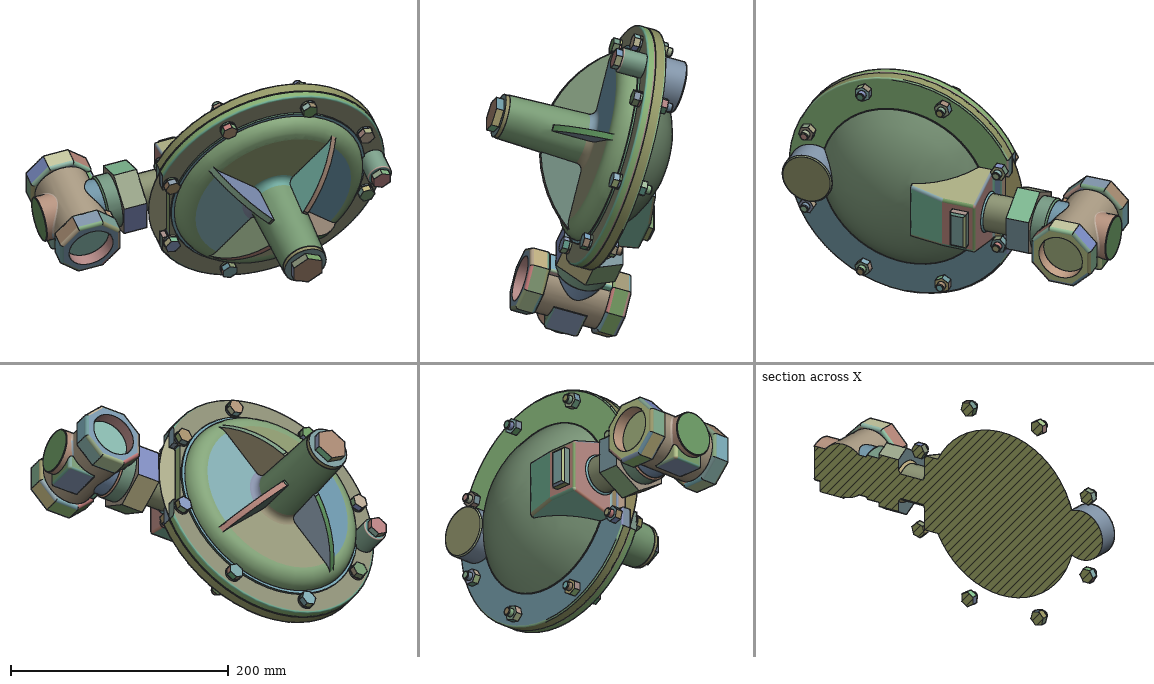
import cadquery as cq
import math


flange_radius = 114.3
rear_flange_thickness = 10.0
front_flange_thickness = 8.2
rear_flange_edge = 1.4
front_flange_edge = 1.6
flat_y = -102.2
notch_y = -95.6
notch_half_width = 32.5
notch_corner_radius = 2.0
diaphragm_radius = 113.0
diaphragm_thickness = 0.5

dome_base_radius = 82.3
dome_height = 41.3
dome_step = 0.8
dish_radius = 91.6
dish_face_x = 24.7
dish_edge_radius = 15.8
dish_ledge_x = 10.1
dish_ledge_radius = 94.5

bolt_count = 8
bolt_circle_radius = 102.4
bolt_first_angle = 22.5
bolt_hex_turn = 22.5
bolt_diameter = 8.0
bolt_tip_x = -22.6
bolt_tip_chamfer = 0.8
nut_width = 13.0
nut_thickness = 6.9
washer_radius = 7.3
head_end_x = 16.0

tube_base_radius = 23.5
tube_end_radius = 20.8
tube_end_x = 112.1
tube_cap_length = 3.8
tube_cap_step = 0.5
tube_root_radius = 6.5
tube_hex_width = 27.6
tube_hex_end_x = 119.14
rib_count = 4
rib_thickness = 5.8
rib_foot_x = 21.3
rib_foot_radius = 85.0
rib_middle_x = 50.0
rib_middle_radius = 56.0
rib_end_x = 65.1
rib_end_radius = 24.5

vent_y = 88.4
vent_radius = 24.5
vent_end_x = -31.4
vent_edge = 1.2
rear_stub_y = 101.6
rear_stub_radius = 11.5
rear_stub_end_x = 30.8
rear_stub_edge = 1.0
rear_plug_width = 16.2
rear_plug_end_x = 36.8

housing_base_half_width = 37.5
housing_draft = 0.27
housing_end_y = -87.6
housing_face_x = -57.0
housing_face_start_y = -55.5
housing_slope_x = -49.2
housing_slope_y = -21.0
housing_side_edge = 3.0
housing_end_edge = 2.0
housing_root = 1.8
label_y_min = -81.0
label_y_max = -65.2
label_half_height = 17.9
label_face_x = -65.0
label_edge = 2.0

valve_x = -23.5
valve_y = -178.2
pipe_radius = 17.6
housing_flare = 1.7
union_flare = 2.4
union_top_y = -116.4
union_bottom_y = -138.6
union_width = 57.4
neck_radius = 25.4
neck_end_y = -153.0
neck_edge = 1.6
neck_root_radius = 23.6
body_radius = 26.4
valve_half_length = 49.35
octagon_width = 58.4
octagon_length = 19.0
octagon_edge = 2.95
bore_radius = 21.4
bore_depth = 12.0
bottom_cap_radius = 21.0
bottom_cap_edge = 0.7
bottom_cap_root = 1.5
bottom_cap_y = -211.48
pad_half_width = 16.4
pad_end_y = -205.3
pad_bottom_z = -27.6
pad_corner_radius = 3.0
pad_edge = 1.8
spine_top_y = -149.4
spine_half_height = 12.0
spine_edge = 2.0

hex_flat_turn = 30
octagon_flat_turn = 22.5


def cylinder_x(radius, x_start, x_end, y=0.0):
    """Cylinder along X."""
    plane = cq.Workplane("YZ", origin=(x_start, y, 0))
    return plane.circle(radius).extrude(x_end - x_start)


def cylinder_y(radius, y_start, y_end):
    """Cylinder along Y on the axis of the pipe, from y_start down to y_end."""
    plane = cq.Workplane("XZ", origin=(valve_x, y_start, 0))
    return plane.circle(radius).extrude(y_start - y_end)


def prism_x(sides, width, x_start, x_end, turn=0.0, y=0.0):
    """Regular prism along X; at turn = 0 a corner points to +Y."""
    corner_radius = width / 2 / math.cos(math.pi / sides)
    plane = cq.Workplane("YZ", origin=(x_start, y, 0)).transformed(rotate=(0, 0, turn))
    return plane.polygon(sides, 2 * corner_radius).extrude(x_end - x_start)


def make_rim_cut():
    """Tool that trims the flange rims to the flat and its notch."""
    length = 3 * (rear_flange_thickness + front_flange_thickness)
    flat = cq.Workplane("XY").box(
        length, flange_radius, 2 * flange_radius, centered=(True, False, True)
    )
    notch = cq.Workplane("XY").box(
        length, flange_radius, 2 * notch_half_width, centered=(True, False, True)
    )
    notch = notch.edges("|X and >Y").fillet(notch_corner_radius)
    flat = flat.translate((0, flat_y - flange_radius, 0))
    return flat.union(notch.translate((0, notch_y - flange_radius, 0)))


def make_flanges():
    """Two flanges trimmed on the -Y side, with the full round diaphragm between them."""
    rim_cut = make_rim_cut()
    rear = cylinder_x(flange_radius, -rear_flange_thickness, 0).cut(rim_cut)
    rear = rear.faces("<X").edges().fillet(rear_flange_edge)
    front = cylinder_x(flange_radius, 0, front_flange_thickness)
    front = front.edges("%CIRCLE").fillet(front_flange_edge).cut(rim_cut)
    diaphragm = cylinder_x(diaphragm_radius, -diaphragm_thickness / 2, diaphragm_thickness / 2)
    return rear.union(front).union(diaphragm)


def make_dome():
    """Spherical cap on the -X side, standing on a shallow step."""
    sphere_radius = (dome_base_radius**2 + dome_height**2) / (2 * dome_height)
    base_x = -rear_flange_thickness
    centre_x = base_x - dome_height + sphere_radius
    half_radius = dome_base_radius / 2
    half_x = centre_x - math.sqrt(sphere_radius**2 - half_radius**2)
    cap_profile = (
        cq.Workplane("XY")
        .moveTo(base_x, 0)
        .lineTo(base_x, dome_base_radius)
        .threePointArc((half_x, half_radius), (base_x - dome_height, 0))
        .close()
    )
    cap = cap_profile.revolve(360, (0, 0, 0), (1, 0, 0))
    return cap.union(cylinder_x(dome_base_radius, base_x - dome_step, 0))


def make_dish():
    """Flat dish with a rounded rim on the +X side."""
    dish = cylinder_x(dish_radius, 0, dish_face_x).faces(">X").edges().fillet(dish_edge_radius)
    return dish.union(cylinder_x(dish_ledge_radius, 0, dish_ledge_x))


def make_bolt():
    """One bolt with nut and flanged head, lying on the X axis."""
    nut_end_x = -rear_flange_thickness - nut_thickness
    shank = cylinder_x(bolt_diameter / 2, bolt_tip_x, 0).faces("<X").chamfer(bolt_tip_chamfer)
    nut = prism_x(6, nut_width, nut_end_x, 0, bolt_hex_turn)
    washer = cylinder_x(washer_radius, 0, dish_ledge_x)
    head = prism_x(6, nut_width, 0, head_end_x, bolt_hex_turn)
    return shank.union(nut).union(washer).union(head)


def make_bolts():
    """Ring of bolts around the casing."""
    bolts = cq.Workplane("XY")
    pattern_bolt = make_bolt().translate((0, bolt_circle_radius, 0))
    for index in range(bolt_count):
        angle = bolt_first_angle + index * 360 / bolt_count
        bolts = bolts.union(pattern_bolt.rotate((0, 0, 0), (1, 0, 0), angle))
    return bolts


def make_spring_tube():
    """Tapered tube with a flared root, an end cap and a hexagon."""
    root_end_x = dish_face_x + tube_root_radius
    cap_x = tube_end_x - tube_cap_length
    arc_offset = tube_root_radius * (1 - math.sqrt(0.5))
    tube_profile = (
        cq.Workplane("XY")
        .moveTo(0, 0)
        .lineTo(0, tube_base_radius + tube_root_radius)
        .lineTo(dish_face_x, tube_base_radius + tube_root_radius)
        .threePointArc(
            (dish_face_x + arc_offset, tube_base_radius + arc_offset),
            (root_end_x, tube_base_radius),
        )
        .lineTo(cap_x, tube_end_radius)
        .lineTo(cap_x, tube_end_radius - tube_cap_step)
        .lineTo(tube_end_x, tube_end_radius - tube_cap_step)
        .lineTo(tube_end_x, 0)
        .close()
    )
    tube = tube_profile.revolve(360, (0, 0, 0), (1, 0, 0))
    return tube.union(prism_x(6, tube_hex_width, 0, tube_hex_end_x, hex_flat_turn))


def make_ribs():
    """Ribs between dish and tube, with a bowed outer edge."""
    rib = (
        cq.Workplane("XY", origin=(0, 0, -rib_thickness / 2))
        .moveTo(rib_foot_x, 0)
        .lineTo(rib_foot_x, rib_foot_radius)
        .threePointArc((rib_middle_x, rib_middle_radius), (rib_end_x, rib_end_radius))
        .lineTo(rib_end_x, 0)
        .close()
        .extrude(rib_thickness)
    )
    ribs = cq.Workplane("XY")
    for index in range(rib_count):
        angle = (index + 0.5) * 360 / rib_count
        ribs = ribs.union(rib.rotate((0, 0, 0), (1, 0, 0), angle))
    return ribs


def make_vent():
    """Vent barrel with a plugged stub on the opposite side of the flange."""
    vent = cylinder_x(vent_radius, vent_end_x, 0, vent_y).faces("<X").chamfer(vent_edge)
    stub = cylinder_x(rear_stub_radius, 0, rear_stub_end_x, rear_stub_y)
    stub = stub.faces(">X").edges().fillet(rear_stub_edge)
    plug = prism_x(6, rear_plug_width, 0, rear_plug_end_x, hex_flat_turn, rear_stub_y)
    return vent.union(stub).union(plug)


def make_housing():
    """Drafted block on the dome, with a sloping roof and a raised label pad."""
    base_x = -rear_flange_thickness
    side_outline = (
        cq.Workplane("XY", origin=(0, 0, -housing_base_half_width))
        .moveTo(base_x, housing_slope_y)
        .lineTo(housing_slope_x, housing_slope_y)
        .lineTo(housing_face_x, housing_face_start_y)
        .lineTo(housing_face_x, housing_end_y)
        .lineTo(base_x, housing_end_y)
        .close()
        .extrude(2 * housing_base_half_width)
    )
    face_half_width = housing_base_half_width - housing_draft * (base_x - housing_face_x)
    draft_outline = (
        cq.Workplane("XZ")
        .moveTo(base_x, housing_base_half_width)
        .lineTo(housing_face_x, face_half_width)
        .lineTo(housing_face_x, -face_half_width)
        .lineTo(base_x, -housing_base_half_width)
        .close()
        .extrude(-2 * housing_end_y)
    )
    housing = side_outline.intersect(draft_outline)
    face_middle = (housing_face_x, (housing_face_start_y + housing_end_y) / 2, 0)
    slope_middle = (
        (housing_slope_x + housing_face_x) / 2,
        (housing_slope_y + housing_face_start_y) / 2,
        0,
    )
    face_sides = housing.faces(cq.selectors.NearestToPointSelector(face_middle)).edges("not |Z")
    slope_sides = housing.faces(cq.selectors.NearestToPointSelector(slope_middle)).edges("not |Z")
    housing = face_sides.add(slope_sides).fillet(housing_side_edge)
    housing = housing.faces("<Y").edges("not >X").fillet(housing_end_edge)
    arc_offset = housing_root * (1 - math.sqrt(0.5))
    root = (
        cq.Workplane("XY", origin=(0, 0, -housing_base_half_width))
        .moveTo(base_x, housing_end_y)
        .lineTo(base_x, housing_end_y - housing_root)
        .threePointArc(
            (base_x - arc_offset, housing_end_y - arc_offset),
            (base_x - housing_root, housing_end_y),
        )
        .close()
        .extrude(2 * housing_base_half_width)
    )
    housing = housing.union(root)

    label = cq.Workplane("YZ", origin=(label_face_x, 0, 0)).center((label_y_min + label_y_max) / 2, 0)
    label = label.rect(label_y_max - label_y_min, 2 * label_half_height)
    label = label.extrude(housing_face_x - label_face_x + label_edge)
    label = label.faces("<X").chamfer(label_edge)
    return housing.union(label)


def make_pipe():
    """Pipe flared at both ends, the union nut and the valve neck."""
    pipe = cylinder_y(pipe_radius, housing_end_y + housing_end_edge, union_top_y)
    flares = ((housing_end_y, -1, housing_flare), (union_top_y, 1, union_flare))
    for root_y, direction, size in flares:
        axis_start = (valve_x, root_y, 0)
        axis = (0, direction, 0)
        flare = cq.Solid.makeCone(pipe_radius + size, pipe_radius, size, axis_start, axis)
        pipe = pipe.union(cq.Workplane(flare))
    union_corner_radius = union_width / 2 / math.cos(math.pi / 6)
    union_nut = (
        cq.Workplane("XZ", origin=(valve_x, union_top_y, 0))
        .transformed(rotate=(0, 0, hex_flat_turn))
        .polygon(6, 2 * union_corner_radius)
        .extrude(union_top_y - union_bottom_y)
    )
    neck = cylinder_y(neck_radius, union_bottom_y, neck_end_y).faces("<Y").chamfer(neck_edge)
    neck_root = cylinder_y(neck_root_radius, neck_end_y, valve_y)
    return pipe.union(union_nut).union(neck).union(neck_root)


def make_valve_end():
    """Octagonal end with rounded rims and a blind bore, on the -X side."""
    end_x = valve_x - valve_half_length
    octagon = prism_x(8, octagon_width, end_x, end_x + octagon_length, octagon_flat_turn, valve_y)
    octagon = octagon.faces("<X or >X").edges().fillet(octagon_edge)
    bore = cylinder_x(bore_radius, end_x, end_x + bore_depth, valve_y)
    return octagon.cut(bore)


def make_valve():
    """Valve body with octagonal ends, bottom cap, bottom pad and a flat spine facing the neck."""
    inner_half_length = valve_half_length - octagon_length
    body = cylinder_x(body_radius, valve_x - inner_half_length, valve_x + inner_half_length, valve_y)
    left_end = make_valve_end()
    right_end = left_end.mirror("YZ", (valve_x, 0, 0))
    cap = cylinder_y(bottom_cap_radius, valve_y, bottom_cap_y)
    cap = cap.faces("<Y").chamfer(bottom_cap_edge)
    body = body.union(cap).edges("(not %CIRCLE) and (not %LINE)").fillet(bottom_cap_root)
    pad = cq.Workplane("XY", origin=(valve_x, 0, pad_bottom_z)).center(0, (valve_y + pad_end_y) / 2)
    pad = pad.rect(2 * pad_half_width, valve_y - pad_end_y).extrude(-pad_bottom_z)
    pad = pad.edges("|Z and <Y").fillet(pad_corner_radius)
    pad = pad.faces("<Z").edges("not >Y").fillet(pad_edge)
    spine = cq.Workplane("XY").box(
        2 * inner_half_length, spine_top_y - valve_y, 2 * spine_half_height, centered=(True, False, True)
    )
    spine = spine.edges("|X and >Y").fillet(spine_edge).translate((valve_x, valve_y, 0))
    return body.union(left_end).union(right_end).union(pad).union(spine)


result = (
    make_flanges()
    .union(make_dome())
    .union(make_dish())
    .union(make_bolts())
    .union(make_spring_tube())
    .union(make_ribs())
    .union(make_vent())
    .union(make_housing())
    .union(make_pipe())
    .union(make_valve())
)